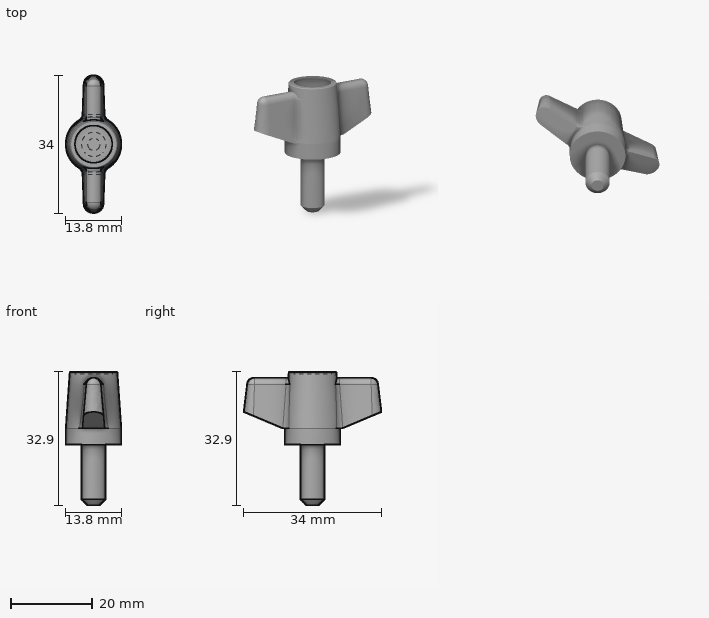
import cadquery as cq
import math


stud_diameter = 6.0
stud_length = 15.0
stud_tip_chamfer = 1.5

hub_height = 17.9
collar_height = 4.0
collar_radius = 13.75 / 2
hub_top_radius = 5.9
hub_top_fillet = 0.2
recess_diameter = 9.19
recess_depth = 0.5

wing_top = 16.5
wing_draft = math.radians(5)
crest_radius = 1.8
tip_reach = 17.0
tip_low_z = 8.05
tip_lean = 0.033
underside_start_y = 7.4

flare_radius_low = 1.8
flare_radius_high = 1.1
crest_flare_steps = 4

shoulder_z = wing_top - crest_radius * (1 - math.sin(wing_draft))
shoulder_half_width = crest_radius * math.cos(wing_draft)


def hub_radius(z):
    """Radius of the hub cone at height z."""
    taper = (collar_radius - hub_top_radius) / (hub_height - collar_height)
    return collar_radius - taper * (z - collar_height)


def wing_half_width(z):
    """Half thickness of the wing between its flanks at height z."""
    return shoulder_half_width + (shoulder_z - z) * math.tan(wing_draft)


def tip_axis_y(z):
    """Y of the centre of the round wing tip at height z."""
    low_centre = tip_reach - wing_half_width(tip_low_z)
    return low_centre + (tip_low_z - z) * tip_lean


def make_stud():
    stud = cq.Workplane("XY").circle(stud_diameter / 2).extrude(-stud_length)
    return stud.faces("<Z").chamfer(stud_tip_chamfer)


def make_hub():
    hub = (
        cq.Workplane("XZ")
        .lineTo(collar_radius, 0)
        .lineTo(collar_radius, collar_height)
        .lineTo(hub_top_radius, hub_height)
        .lineTo(0, hub_height)
        .close()
        .revolve(360, (0, 0, 0), (0, 1, 0))
    )
    return hub.faces(">Z").edges().fillet(hub_top_fillet)


def make_recess():
    floor_z = hub_height - recess_depth
    return cq.Workplane("XY").workplane(offset=floor_z).circle(recess_diameter / 2).extrude(recess_depth)


def wing_section(z):
    """Horizontal wing outline at height z: from the hub axis out to the round tip."""
    half_width = wing_half_width(z)
    centre_y = tip_axis_y(z)
    return (
        cq.Workplane("XY", origin=(0, 0, z))
        .moveTo(-half_width, 0)
        .lineTo(half_width, 0)
        .lineTo(half_width, centre_y)
        .threePointArc((0, centre_y + half_width), (-half_width, centre_y))
        .close()
        .wires()
        .val()
    )


def make_blade():
    """Drafted lower part of the wing, trimmed along the sloping underside."""
    sections = [wing_section(collar_height), wing_section(shoulder_z)]
    blade = cq.Workplane(cq.Solid.makeLoft(sections, True))
    slope = (tip_low_z - collar_height) / (tip_reach - underside_start_y)
    trim_end_y = 2 * tip_reach
    trim = (
        cq.Workplane("YZ")
        .moveTo(underside_start_y, collar_height)
        .lineTo(trim_end_y, collar_height + slope * (trim_end_y - underside_start_y))
        .lineTo(trim_end_y, collar_height)
        .close()
        .extrude(tip_reach, both=True)
    )
    return blade.cut(trim)


def make_crest():
    """Rounded ridge along the wing top, ending in a matching dome at the tip."""
    end_y = tip_axis_y(shoulder_z)
    mid_angle = (math.pi / 2 + wing_draft) / 2
    mid_x = crest_radius * math.sin(mid_angle)
    mid_z = wing_top - crest_radius * (1 - math.cos(mid_angle))
    ridge = (
        cq.Workplane("XZ")
        .moveTo(-shoulder_half_width, shoulder_z)
        .threePointArc((0, wing_top), (shoulder_half_width, shoulder_z))
        .close()
        .extrude(-end_y)
    )
    dome = (
        cq.Workplane("XZ", origin=(0, end_y, 0))
        .moveTo(0, shoulder_z)
        .lineTo(shoulder_half_width, shoulder_z)
        .threePointArc((mid_x, mid_z), (0, wing_top))
        .close()
        .revolve(360, (0, 0, 0), (0, 1, 0))
    )
    return ridge.union(dome)


def flare_centre(z, radius):
    """Centre (x, y) of the flare arc that touches both the wing flank and the hub."""
    x = wing_half_width(z) + radius
    y = math.sqrt((hub_radius(z) + radius) ** 2 - x**2)
    return x, y


def flare_section(z, radius):
    """Horizontal outline of the flared wing root at height z."""
    half_width = wing_half_width(z)
    centre_x, centre_y = flare_centre(z, radius)
    hub_share = hub_radius(z) / (hub_radius(z) + radius)
    hub_x = centre_x * hub_share
    hub_y = centre_y * hub_share
    mid_angle = (math.pi + math.atan2(hub_y - centre_y, hub_x - centre_x) % (2 * math.pi)) / 2
    mid_x = centre_x + radius * math.cos(mid_angle)
    mid_y = centre_y + radius * math.sin(mid_angle)
    return (
        cq.Workplane("XY", origin=(0, 0, z))
        .moveTo(hub_x, hub_y)
        .threePointArc((mid_x, mid_y), (half_width, centre_y))
        .lineTo(-half_width, centre_y)
        .threePointArc((-mid_x, mid_y), (-hub_x, hub_y))
        .close()
        .wires()
        .val()
    )


def make_flank_flare():
    """Concave flares on both flanks, from the collar top up to the crest shoulder."""
    low = flare_section(collar_height, flare_radius_low)
    high = flare_section(shoulder_z, flare_radius_high)
    return cq.Workplane(cq.Solid.makeLoft([low, high], True))


def make_crest_flare():
    """Rounded crest widening into the hub along the same arc as the flank flares."""
    centre_x, centre_y = flare_centre(shoulder_z, flare_radius_high)
    hub_share = hub_radius(shoulder_z) / (hub_radius(shoulder_z) + flare_radius_high)
    inner_y = centre_y * hub_share
    sections = []
    for step in range(crest_flare_steps + 1):
        y = inner_y + (centre_y - inner_y) * step / crest_flare_steps
        half_width = centre_x - math.sqrt(flare_radius_high**2 - (centre_y - y) ** 2)
        section = (
            cq.Workplane("XZ", origin=(0, y, 0))
            .moveTo(-half_width, shoulder_z)
            .threePointArc((0, wing_top), (half_width, shoulder_z))
            .close()
        )
        sections.append(section.wires().val())
    return cq.Workplane(cq.Solid.makeLoft(sections))


def make_wing():
    return make_blade().union(make_crest()).union(make_flank_flare()).union(make_crest_flare())


wing = make_wing()
opposite_wing = wing.rotate((0, 0, 0), (0, 0, 1), 180)
result = make_hub().union(wing).union(opposite_wing).cut(make_recess()).union(make_stud())